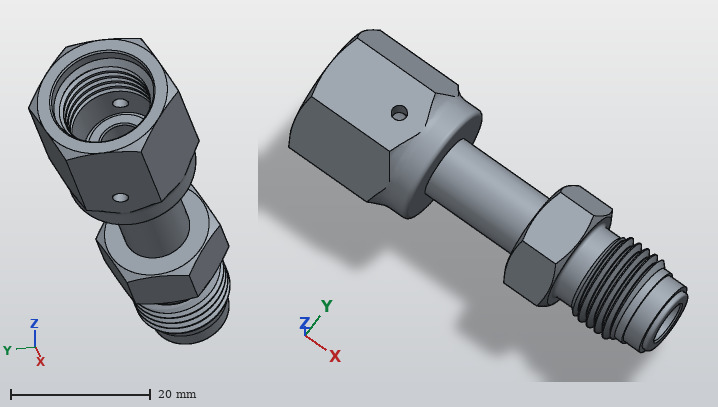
import cadquery as cq
import math

OVERALL_LENGTH = 60.3

TUBE_RADIUS = 4.8
BORE_RADIUS = 3.2
BORE_CHAMFER = 0.25
GLAND_START = 13.1
BEAD_RADIUS = 5.0
BEAD_LENGTH = 0.9
BEAD_FILLET = 0.35
FLANGE_RADIUS = 5.75
FLANGE_LENGTH = 2.85
FLANGE_OFFSET = BEAD_LENGTH + FLANGE_LENGTH

THREAD_COUNT = 20
THREAD_GAUGE_LENGTH = 28.35
THREAD_PITCH = THREAD_GAUGE_LENGTH / THREAD_COUNT
THREAD_MAJOR_RADIUS = 7.05
THREAD_ROOT_RADIUS = 6.1
THREAD_CREST_WIDTH = 0.2
THREAD_HALF_ANGLE = 30.0
THREAD_OVERLAP = 0.05

HEX_BEVEL_ANGLE = 30.0

FEMALE_FLATS = 19.05
FEMALE_LENGTH = 20.6
FEMALE_BEVEL_RADIUS = 9.55
COLLAR_RADIUS = 9.4
COLLAR_EDGE_FILLET = 0.7
BLEND_START = 14.8
COLLAR_START = 17.5
FEMALE_BORE_RADIUS = 6.4
ENTRY_RADIUS = 7.5
ENTRY_CHAMFER = 0.25
ENTRY_DEPTH = 1.8
FEMALE_THREAD_START = 1.6
FEMALE_THREAD_TURNS = 5.5
VENT_RADIUS = 1.15
VENT_X = 12.4

MALE_FLATS = 15.8
MALE_HEX_START = 36.9
MALE_HEX_END = 44.5
MALE_BEVEL_RADIUS = 7.65
NECK_FILLET = 0.5
MALE_THREAD_START = 47.65
MALE_THREAD_END = 55.3
MALE_RIDGE_START = 46.4
MALE_THREAD_TURNS = 7

FLANGE_LEFT_END = GLAND_START + FLANGE_OFFSET
FLANGE_RIGHT_START = OVERALL_LENGTH - FLANGE_OFFSET


def corner_radius(flats):
    """Radius to the corners of a hexagon with the given width across flats."""
    return flats / math.sqrt(3)


def revolve_x(outline):
    """Revolve a closed XZ outline a full turn about the X axis."""
    return outline.close().revolve(360, (0, 0, 0), (1, 0, 0))


def cylinder(start, end, radius):
    return cq.Workplane("YZ", origin=(start, 0, 0)).circle(radius).extrude(end - start)


def hexagon(start, end, flats):
    """Hexagonal prism along X with flats facing +Z and -Z."""
    width = 2 * corner_radius(flats)
    return cq.Workplane("YZ", origin=(start, 0, 0)).polygon(6, width).extrude(end - start)


def bevel_length(flats, face_radius):
    """Axial length of the bevel, measured along a hexagon corner."""
    return (corner_radius(flats) - face_radius) * math.tan(math.radians(HEX_BEVEL_ANGLE))


def thread_ridge(start, turns):
    """Right-handed helical ridge; its centre starts at x = start on the +Z side."""
    base_radius = THREAD_ROOT_RADIUS - THREAD_OVERLAP
    flank = (THREAD_MAJOR_RADIUS - base_radius) * math.tan(math.radians(THREAD_HALF_ANGLE))
    half_crest = THREAD_CREST_WIDTH / 2
    half_base = half_crest + flank
    path = cq.Wire.makeHelix(
        THREAD_PITCH, turns * THREAD_PITCH, THREAD_ROOT_RADIUS,
        center=cq.Vector(start, 0, 0), dir=cq.Vector(1, 0, 0),
    )
    profile = (
        cq.Workplane("XZ")
        .moveTo(start - half_base, base_radius)
        .lineTo(start - half_crest, THREAD_MAJOR_RADIUS)
        .lineTo(start + half_crest, THREAD_MAJOR_RADIUS)
        .lineTo(start + half_base, base_radius)
        .close()
    )
    return profile.sweep(cq.Workplane(path), isFrenet=True)


def make_gland():
    """Tube with a flange and a rounded sealing bead at each end."""
    blank = revolve_x(
        cq.Workplane("XZ")
        .moveTo(GLAND_START, 0)
        .lineTo(GLAND_START, BEAD_RADIUS)
        .lineTo(GLAND_START + BEAD_LENGTH, BEAD_RADIUS)
        .lineTo(GLAND_START + BEAD_LENGTH, FLANGE_RADIUS)
        .lineTo(FLANGE_LEFT_END, FLANGE_RADIUS)
        .lineTo(FLANGE_LEFT_END, TUBE_RADIUS)
        .lineTo(FLANGE_RIGHT_START, TUBE_RADIUS)
        .lineTo(FLANGE_RIGHT_START, FLANGE_RADIUS)
        .lineTo(OVERALL_LENGTH - BEAD_LENGTH, FLANGE_RADIUS)
        .lineTo(OVERALL_LENGTH - BEAD_LENGTH, BEAD_RADIUS)
        .lineTo(OVERALL_LENGTH, BEAD_RADIUS)
        .lineTo(OVERALL_LENGTH, 0)
    )
    blank = blank.faces("<X or >X").edges().fillet(BEAD_FILLET)
    bored = blank.cut(cylinder(GLAND_START, OVERALL_LENGTH, BORE_RADIUS))
    bore_mouths = bored.faces("<X or >X").edges(cq.selectors.RadiusNthSelector(0))
    return bore_mouths.chamfer(BORE_CHAMFER)


def female_envelope():
    """Turned outside of the female nut: front bevel, concave back blend and round collar."""
    corner = corner_radius(FEMALE_FLATS)
    bevel = bevel_length(FEMALE_FLATS, FEMALE_BEVEL_RADIUS)
    blend_length = COLLAR_START - BLEND_START
    blend_height = corner - COLLAR_RADIUS
    blend_radius = (blend_length**2 + blend_height**2) / (2 * blend_height)
    edge_start = FEMALE_LENGTH - COLLAR_EDGE_FILLET
    return revolve_x(
        cq.Workplane("XZ")
        .lineTo(0, FEMALE_BEVEL_RADIUS)
        .lineTo(bevel, corner)
        .lineTo(BLEND_START, corner)
        .radiusArc((COLLAR_START, COLLAR_RADIUS), -blend_radius)
        .lineTo(edge_start, COLLAR_RADIUS)
        .radiusArc((FEMALE_LENGTH, COLLAR_RADIUS - COLLAR_EDGE_FILLET), COLLAR_EDGE_FILLET)
        .lineTo(FEMALE_LENGTH, 0)
    )


def female_cavity():
    """Chamfered entry, 45 degree cone, thread bore and rear hole for the tube."""
    cone_end = ENTRY_DEPTH + ENTRY_RADIUS - FEMALE_BORE_RADIUS
    return revolve_x(
        cq.Workplane("XZ")
        .lineTo(0, ENTRY_RADIUS + ENTRY_CHAMFER)
        .lineTo(ENTRY_CHAMFER, ENTRY_RADIUS)
        .lineTo(ENTRY_DEPTH, ENTRY_RADIUS)
        .lineTo(cone_end, FEMALE_BORE_RADIUS)
        .lineTo(FLANGE_LEFT_END, FEMALE_BORE_RADIUS)
        .lineTo(FLANGE_LEFT_END, TUBE_RADIUS)
        .lineTo(FEMALE_LENGTH, TUBE_RADIUS)
        .lineTo(FEMALE_LENGTH, 0)
    )


def make_female_nut():
    """Hexagonal nut with an internal thread, a round collar and a cross-drilled vent."""
    nut = female_envelope().intersect(hexagon(0, FEMALE_LENGTH, FEMALE_FLATS))
    nut = nut.cut(female_cavity())
    nut = nut.cut(thread_ridge(FEMALE_THREAD_START, FEMALE_THREAD_TURNS))
    vent = cq.Workplane("XY").center(VENT_X, 0).circle(VENT_RADIUS).extrude(FEMALE_FLATS, both=True)
    return nut.cut(vent)


def male_hexagon():
    """Short hexagon bevelled on both ends."""
    corner = corner_radius(MALE_FLATS)
    bevel = bevel_length(MALE_FLATS, MALE_BEVEL_RADIUS)
    turned = revolve_x(
        cq.Workplane("XZ")
        .moveTo(MALE_HEX_START, 0)
        .lineTo(MALE_HEX_START, MALE_BEVEL_RADIUS)
        .lineTo(MALE_HEX_START + bevel, corner)
        .lineTo(MALE_HEX_END - bevel, corner)
        .lineTo(MALE_HEX_END, MALE_BEVEL_RADIUS)
        .lineTo(MALE_HEX_END, 0)
    )
    return turned.intersect(hexagon(MALE_HEX_START, MALE_HEX_END, MALE_FLATS))


def male_thread():
    """Helical ridge trimmed by a 45 degree cone at each end of the thread."""
    half_length = (MALE_THREAD_END - MALE_THREAD_START) / 2
    middle = MALE_THREAD_START + half_length
    peak_radius = THREAD_ROOT_RADIUS + half_length
    trim = revolve_x(
        cq.Workplane("XZ")
        .moveTo(middle - peak_radius, 0)
        .lineTo(middle, peak_radius)
        .lineTo(middle + peak_radius, 0)
    )
    return thread_ridge(MALE_RIDGE_START, MALE_THREAD_TURNS).intersect(trim)


def make_male_nut():
    """Hexagonal nut with an externally threaded stem, bored to fit the tube."""
    stem = revolve_x(
        cq.Workplane("XZ")
        .moveTo(MALE_HEX_END, 0)
        .lineTo(MALE_HEX_END, THREAD_ROOT_RADIUS + NECK_FILLET)
        .radiusArc((MALE_HEX_END + NECK_FILLET, THREAD_ROOT_RADIUS), -NECK_FILLET)
        .lineTo(FLANGE_RIGHT_START, THREAD_ROOT_RADIUS)
        .lineTo(FLANGE_RIGHT_START, 0)
    )
    nut = male_hexagon().union(stem).union(male_thread())
    return nut.cut(cylinder(MALE_HEX_START, FLANGE_RIGHT_START, TUBE_RADIUS))


gland = make_gland()
female_nut = make_female_nut()
male_nut = make_male_nut()

result = cq.Compound.makeCompound([gland.val(), female_nut.val(), male_nut.val()])